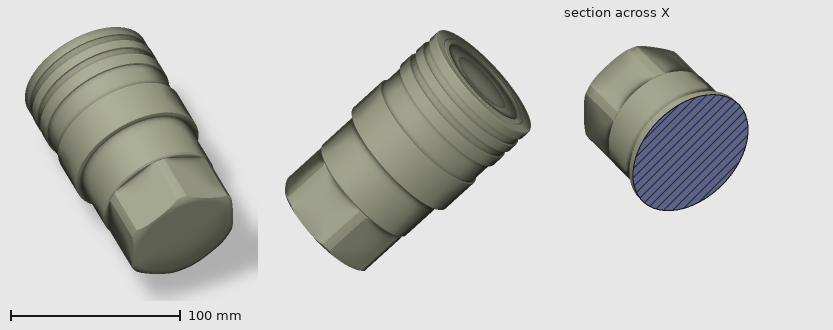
import cadquery as cq
import math

total_length = 132.5

ring_radius = 40.3
barrel_radius = 38.8
front_land_radius = 39.9
front_land_end = 6.1
front_chamfer_length = 0.5
front_chamfer_height = 0.3
barrel_end = 70.0
collar_chamfer = 0.3
rib_spans = [(11.3, 17.0), (22.1, 30.0)]
collar_start = 46.0

body_radius = 36.3
body_end = 99.5
body_chamfer = 0.9

hex_across_flats = 64.9
hex_corner_radius = 35.9
hex_front_chamfer = 0.7
hex_rounding_length = 2.4
hex_end_face_radius = 30.3

groove_outer_radius = 33.5
groove_inner_radius = 32.5
groove_depth = 0.4
recess_mouth_radius = 29.4
recess_floor_radius = 28.6
recess_depth = 1.5
poppet_radius = 19.9
poppet_sink = 0.4


def cylinder(start, end, radius):
    """Solid cylinder along X between two stations."""
    return cq.Workplane("YZ", origin=(start, 0, 0)).circle(radius).extrude(end - start)


def make_sleeve():
    sleeve = cylinder(0, barrel_end, barrel_radius)
    front_land = (
        cq.Workplane("XY")
        .moveTo(0, 0)
        .lineTo(0, front_land_radius - front_chamfer_height)
        .lineTo(front_chamfer_length, front_land_radius)
        .lineTo(front_land_end, front_land_radius)
        .lineTo(front_land_end, 0)
        .close()
        .revolve(360, (0, 0, 0), (1, 0, 0))
    )
    sleeve = sleeve.union(front_land)
    for start, end in rib_spans:
        sleeve = sleeve.union(cylinder(start, end, ring_radius))
    collar = cylinder(collar_start, barrel_end, ring_radius).faces(">X").chamfer(collar_chamfer)
    return sleeve.union(collar)


def make_body():
    return cylinder(0, body_end, body_radius).faces(">X").chamfer(body_chamfer)


def make_hexagon():
    """Hexagonal prism, flats facing +Y and -Y, trimmed by a turned envelope."""
    rounding_height = hex_corner_radius - hex_end_face_radius
    rounding_radius = (rounding_height**2 + hex_rounding_length**2) / (2 * hex_rounding_length)
    half_sweep = math.asin(rounding_height / rounding_radius) / 2
    arc_middle = (
        total_length - rounding_radius * (1 - math.cos(half_sweep)),
        hex_end_face_radius + rounding_radius * math.sin(half_sweep),
    )
    envelope = (
        cq.Workplane("XY")
        .moveTo(body_end, 0)
        .lineTo(body_end, hex_corner_radius - hex_front_chamfer)
        .lineTo(body_end + hex_front_chamfer, hex_corner_radius)
        .lineTo(total_length - hex_rounding_length, hex_corner_radius)
        .threePointArc(arc_middle, (total_length, hex_end_face_radius))
        .lineTo(total_length, 0)
        .close()
        .revolve(360, (0, 0, 0), (1, 0, 0))
    )
    across_corners = hex_across_flats / math.cos(math.pi / 6)
    prism = (
        cq.Workplane("YZ", origin=(body_end, 0, 0))
        .transformed(rotate=(0, 0, 90))
        .polygon(6, across_corners)
        .extrude(total_length - body_end)
    )
    return prism.intersect(envelope)


def make_face_groove():
    """Shallow V-groove in the front face."""
    middle_radius = (groove_outer_radius + groove_inner_radius) / 2
    return (
        cq.Workplane("XY")
        .polyline([(0, groove_inner_radius), (groove_depth, middle_radius), (0, groove_outer_radius)])
        .close()
        .revolve(360, (0, 0, 0), (1, 0, 0))
    )


def make_face_recess():
    """Conical recess whose floor holds a slightly sunken poppet face."""
    recess = (
        cq.Workplane("XY")
        .polyline([(0, 0), (0, recess_mouth_radius), (recess_depth, recess_floor_radius), (recess_depth, 0)])
        .close()
        .revolve(360, (0, 0, 0), (1, 0, 0))
    )
    return recess.union(cylinder(0, recess_depth + poppet_sink, poppet_radius))


result = make_sleeve().union(make_body()).union(make_hexagon())
result = result.cut(make_face_groove()).cut(make_face_recess())